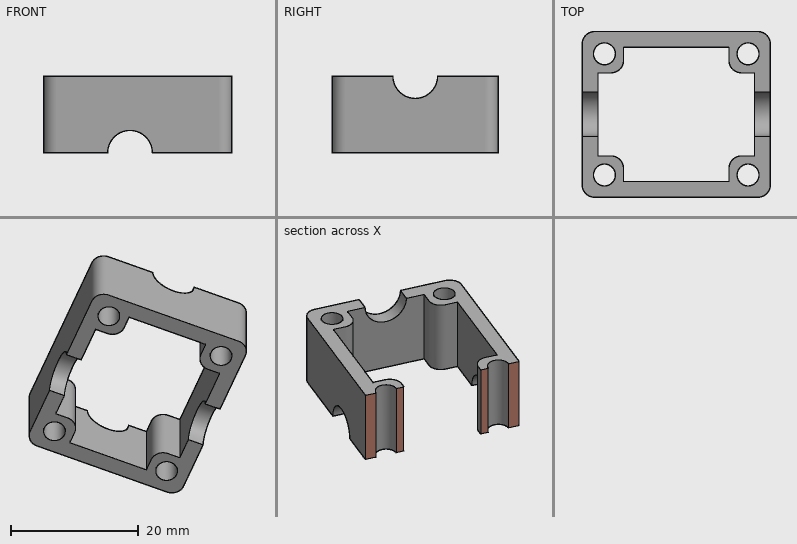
import cadquery as cq

length = 29.5
width = 26.0
height = 12.0
wall = 2.5
corner_radius = 2.0

post_reach = 6.52
post_radius = 2.0
hole_diameter = 3.4
hole_inset = 3.5

notch_radius = 3.48
bottom_notch_x = -1.2


def make_frame():
    outer = cq.Workplane("XY").box(length, width, height, centered=(True, True, False))
    outer = outer.edges("|Z").fillet(corner_radius)
    opening = cq.Workplane("XY").box(
        length - 2 * wall, width - 2 * wall, height, centered=(True, True, False)
    )
    return outer.cut(opening)


def make_post(side_x, side_y):
    """Corner post with one rounded edge, overlapping half of each wall."""
    size = post_reach - wall / 2
    center_x = side_x * (length / 2 - wall / 2 - size / 2)
    center_y = side_y * (width / 2 - wall / 2 - size / 2)
    inner_x = "<X" if side_x > 0 else ">X"
    inner_y = "<Y" if side_y > 0 else ">Y"
    post = cq.Workplane("XY").box(size, size, height, centered=(True, True, False))
    post = post.faces(inner_x).edges(inner_y).fillet(post_radius)
    return post.translate((center_x, center_y, 0))


def make_hole(side_x, side_y):
    hole = cq.Workplane("XY").circle(hole_diameter / 2).extrude(height)
    return hole.translate((side_x * (length / 2 - hole_inset), side_y * (width / 2 - hole_inset), 0))


corners = [(side_x, side_y) for side_x in (-1, 1) for side_y in (-1, 1)]

result = make_frame()
for corner in corners:
    result = result.union(make_post(*corner))
for corner in corners:
    result = result.cut(make_hole(*corner))

end_notches = cq.Workplane("YZ").center(0, height).circle(notch_radius)
end_notches = end_notches.extrude(length / 2, both=True)

side_notches = cq.Workplane("XZ").center(bottom_notch_x, 0).circle(notch_radius)
side_notches = side_notches.extrude(width / 2, both=True)

result = result.cut(end_notches).cut(side_notches)